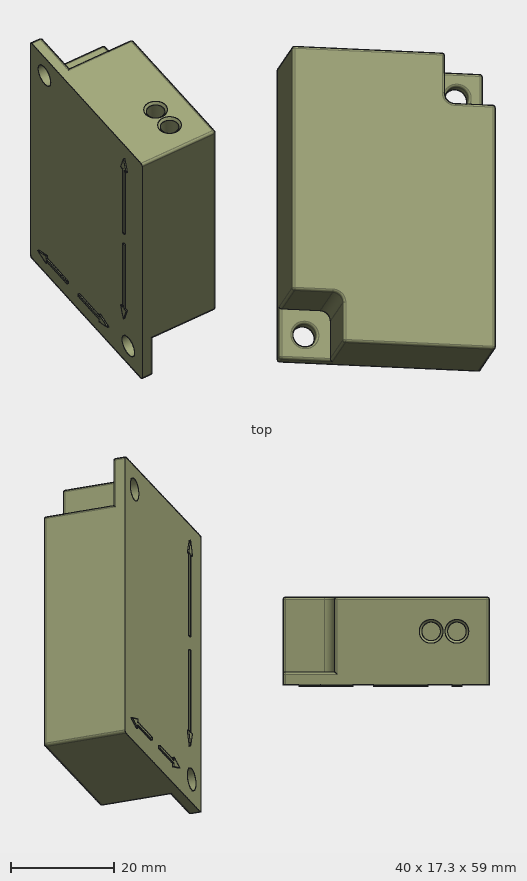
import cadquery as cq
import math

WIDTH = 40.0
DEPTH = 17.0
HEIGHT = 59.0
EDGE_RADIUS = 0.5

STEP_SIZE = 10.0
STEP_FILLET = 2.0
PLATE_THICKNESS = 2.5

MOUNT_DIAMETER = 4.5
MOUNT_INSET = 5.0

PORT_COUNT = 2
PORT_DIAMETER = 3.6
PORT_CHAMFER = 0.5
PORT_DEPTH = 10.0
PORT_PITCH = 5.0
PORT_FIRST_X = 28.7
PORT_Y = 10.35

RELIEF = 0.3
HEAD_LENGTH = 3.0
HEAD_WIDTH = 2.0
SHAFT_WIDTH = 0.6
ACROSS_ARROW_LENGTH = 25.0
ACROSS_ARROW_GAP = 4.0
ACROSS_ARROW_CENTER = (15.55, 4.4)
UPRIGHT_ARROW_LENGTH = 44.0
UPRIGHT_ARROW_GAP = 3.0
UPRIGHT_ARROW_CENTER = (33.7, 33.5)

SELECT_MARGIN = 0.1


def half_turn(shape):
    """Copy of a shape turned 180 degrees about the block's central Y-parallel axis."""
    axis_start = (WIDTH / 2, 0, HEIGHT / 2)
    axis_end = (WIDTH / 2, DEPTH, HEIGHT / 2)
    return shape.rotate(axis_start, axis_end, 180)


def step_cutter():
    """Space cleared behind the top -X plate, with its inner corner rounded."""
    return (
        cq.Workplane("XY")
        .box(STEP_SIZE, DEPTH, STEP_SIZE, centered=False)
        .translate((0, PLATE_THICKNESS, HEIGHT - STEP_SIZE))
        .edges("|Y and >X and <Z")
        .fillet(STEP_FILLET)
    )


def mount_hole_cutter():
    """Hole through the top -X plate, flaring along a quarter arc to the plate's back face."""
    radius = MOUNT_DIAMETER / 2
    flare_start = PLATE_THICKNESS - EDGE_RADIUS
    arc_inset = EDGE_RADIUS * (1 - math.sqrt(0.5))
    return (
        cq.Workplane("XY")
        .lineTo(radius, 0)
        .lineTo(radius, flare_start)
        .threePointArc(
            (radius + arc_inset, PLATE_THICKNESS - arc_inset),
            (radius + EDGE_RADIUS, PLATE_THICKNESS),
        )
        .lineTo(0, PLATE_THICKNESS)
        .close()
        .revolve(360, (0, 0, 0), (0, 1, 0))
        .translate((MOUNT_INSET, 0, HEIGHT - MOUNT_INSET))
    )


def edges_inside_steps():
    """Selector for the edges within either step: its corner, and where it meets the plate."""
    y_low = PLATE_THICKNESS - SELECT_MARGIN
    y_high = DEPTH - SELECT_MARGIN
    reach = STEP_SIZE + SELECT_MARGIN
    top_step = cq.selectors.BoxSelector(
        (SELECT_MARGIN, y_low, HEIGHT - reach),
        (reach, y_high, HEIGHT - SELECT_MARGIN),
    )
    bottom_step = cq.selectors.BoxSelector(
        (WIDTH - reach, y_low, SELECT_MARGIN),
        (WIDTH - SELECT_MARGIN, y_high, reach),
    )
    return top_step + bottom_step


def block_body():
    """Stepped block with its outer edges rounded, except those of the front face."""
    body = cq.Workplane("XY").box(WIDTH, DEPTH, HEIGHT, centered=False)
    body = body.cut(step_cutter()).cut(half_turn(step_cutter()))
    front_edges = cq.selectors.DirectionMinMaxSelector(cq.Vector(0, 1, 0), False)
    return body.edges(-(front_edges + edges_inside_steps())).fillet(EDGE_RADIUS)


def port(x):
    """Blind hole from the top face with a chamfered mouth, as a half profile turned about Z."""
    radius = PORT_DIAMETER / 2
    return (
        cq.Workplane("XZ")
        .moveTo(0, -PORT_DEPTH)
        .lineTo(radius, -PORT_DEPTH)
        .lineTo(radius, -PORT_CHAMFER)
        .lineTo(radius + PORT_CHAMFER, 0)
        .lineTo(0, 0)
        .close()
        .revolve(360, (0, 0, 0), (0, 1, 0))
        .translate((x, PORT_Y, HEIGHT))
    )


def arrow(length, gap, center, angle):
    """Raised double-headed arrow, turned by angle from the X direction."""
    head_base = length / 2 - HEAD_LENGTH
    half_arrow = (
        cq.Workplane("XZ")
        .moveTo(gap / 2, -SHAFT_WIDTH / 2)
        .lineTo(head_base, -SHAFT_WIDTH / 2)
        .lineTo(head_base, -HEAD_WIDTH / 2)
        .lineTo(length / 2, 0)
        .lineTo(head_base, HEAD_WIDTH / 2)
        .lineTo(head_base, SHAFT_WIDTH / 2)
        .lineTo(gap / 2, SHAFT_WIDTH / 2)
        .close()
        .extrude(RELIEF)
    )
    whole = half_arrow.union(half_arrow.mirror("YZ"))
    x, z = center
    return whole.rotate((0, 0, 0), (0, 1, 0), angle).translate((x, 0, z))


result = block_body()
result = result.cut(mount_hole_cutter()).cut(half_turn(mount_hole_cutter()))
for index in range(PORT_COUNT):
    result = result.cut(port(PORT_FIRST_X + index * PORT_PITCH))
result = result.union(arrow(ACROSS_ARROW_LENGTH, ACROSS_ARROW_GAP, ACROSS_ARROW_CENTER, 0))
result = result.union(arrow(UPRIGHT_ARROW_LENGTH, UPRIGHT_ARROW_GAP, UPRIGHT_ARROW_CENTER, 90))